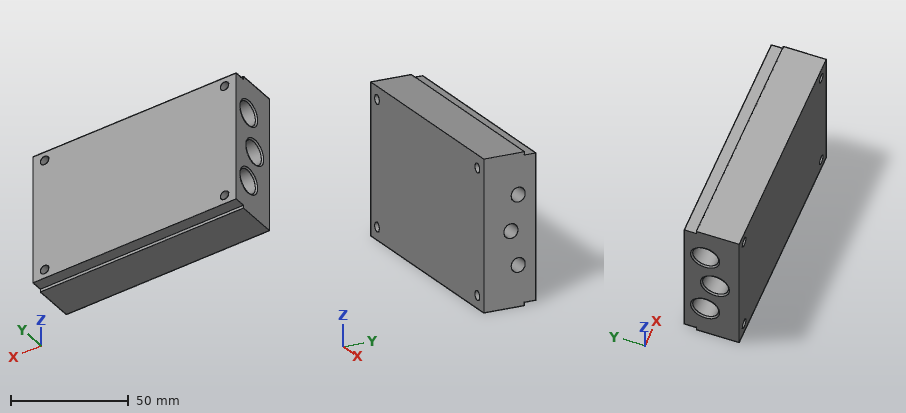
import cadquery as cq

length = 105.0
depth = 25.0
height = 70.0
front_y = -depth / 2
left_x = -length / 2

rebate_depth = 5.5
rebate_height = 1.5

mount_diameter = 4.3
mount_edge_distance = 6.0

bore_diameter = 11.8
bore_depth = 15.0
bore_chamfer = 0.7
passage_diameter = 6.7
outer_bore_y = front_y + 15.5
outer_bore_z = 18.0
outer_passage_y = front_y + 16.5
outer_passage_z = 16.0
middle_bore_y = front_y + 11.0
middle_passage_y = front_y + 13.0

ports = [
    ((outer_bore_y, outer_bore_z), (outer_passage_y, outer_passage_z)),
    ((middle_bore_y, 0), (middle_passage_y, 0)),
    ((outer_bore_y, -outer_bore_z), (outer_passage_y, -outer_passage_z)),
]


def make_block():
    """Front body with a slightly lower rear part that leaves the two rebates."""
    body = cq.Workplane("XY").box(length, depth - rebate_depth, height)
    body = body.translate((0, -rebate_depth / 2, 0))
    rear = cq.Workplane("XY").box(length, depth, height - 2 * rebate_height)
    return body.union(rear)


def drill_mounting_holes(block):
    spacing_x = length - 2 * mount_edge_distance
    spacing_z = height - 2 * mount_edge_distance
    holes = (
        cq.Workplane("XZ", origin=(0, -front_y, 0))
        .rarray(spacing_x, spacing_z, 2, 2)
        .circle(mount_diameter / 2)
        .extrude(depth)
    )
    return block.cut(holes)


def rod_along_x(centre, diameter, rod_length):
    """Cylinder starting at the left face and running toward +X."""
    return (
        cq.Workplane("YZ", origin=(left_x, 0, 0))
        .center(*centre)
        .circle(diameter / 2)
        .extrude(rod_length)
    )


def cut_port(block, bore_centre, passage_centre):
    block = block.cut(rod_along_x(passage_centre, passage_diameter, length))
    block = block.cut(rod_along_x(bore_centre, bore_diameter, bore_depth))
    mouth = cq.Solid.makeCone(
        bore_diameter / 2 + bore_chamfer,
        bore_diameter / 2,
        bore_chamfer,
        pnt=cq.Vector(left_x, *bore_centre),
        dir=cq.Vector(1, 0, 0),
    )
    return block.cut(cq.Workplane(mouth))


result = drill_mounting_holes(make_block())
for bore, passage in ports:
    result = cut_port(result, bore, passage)